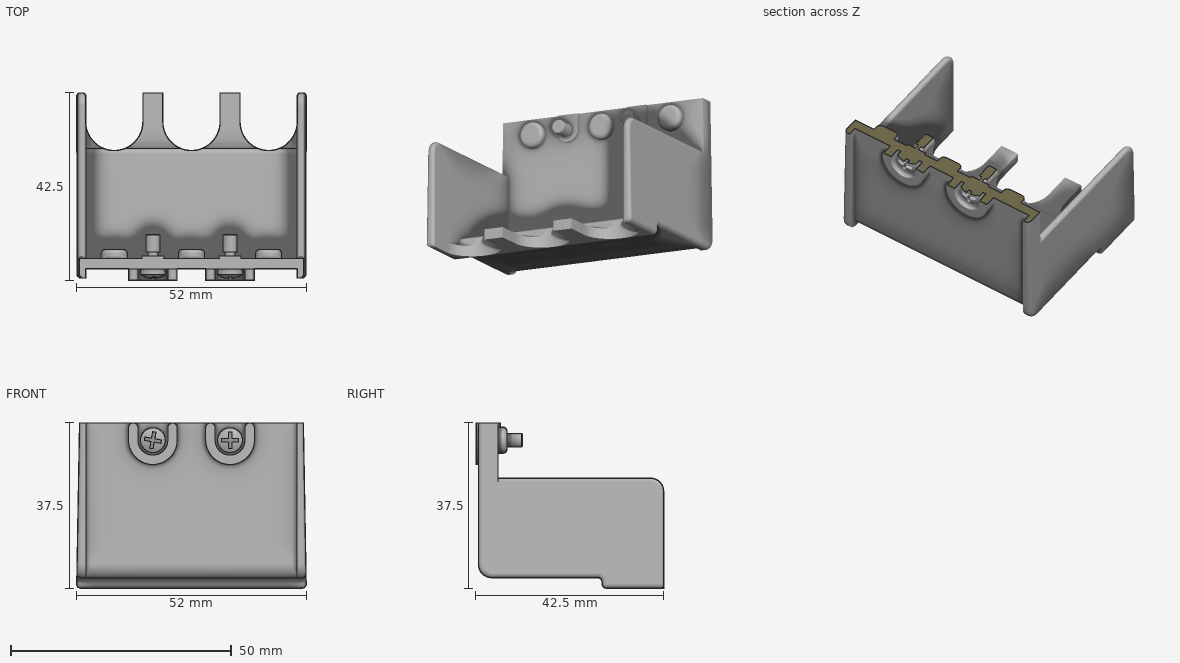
import cadquery as cq
import math

width = 52.05
depth = 42.5
height = 37.5
draft_angle = 1.0

pitch = 17.5
slot_radius = 6.45
slot_center_y = 35.9
wall_inner_x = pitch + slot_radius
slot_positions = (-pitch, 0, pitch)
screw_positions = (-pitch / 2, pitch / 2)

wall_front_y = 0.5
wall_top_z = 25.0
wall_corner_radius = 3.0
foot_height = 2.4
floor_thickness = 2.4
foot_front_y = 28.5
foot_corner_radius = 1.05
front_rim_radius = 1.0
back_rim_radius = 0.8
pick_margin = 0.5
floor_step_y = 29.9
step_top_radius = 1.2
step_root_radius = 1.0

plate_front_y = 2.65
plate_thickness = 2.35
plate_back_y = plate_front_y + plate_thickness

screw_z = 33.55
guard_outer_radius = 5.5
guard_inner_radius = 3.4
pad_radius = 2.5
pad_thickness = 0.5
button_radius = 2.95
button_height = 2.05
button_fillet = 1.0
neck_radius = 1.15
neck_end_y = 6.5
shank_radius = 1.55
shank_end_y = 10.45
shank_chamfer = 0.2
head_radius = 2.8
head_rim_y = 1.35
head_front_y = 0.4
dome_height = head_rim_y - head_front_y
dome_radius = (head_radius**2 + dome_height**2) / (2 * dome_height)
recess_length = 3.8
recess_width = 0.8
recess_depth = 1.05
left_screw_turn = 10.0


def bottom_outline(front_y):
    """YZ outline from the front top corner, round the underside, to the back of the foot."""
    return (
        cq.Workplane("YZ")
        .moveTo(front_y, height)
        .lineTo(front_y, foot_height + wall_corner_radius)
        .radiusArc((front_y + wall_corner_radius, foot_height), -wall_corner_radius)
        .lineTo(foot_front_y - step_root_radius, foot_height)
        .radiusArc((foot_front_y, foot_height - step_root_radius), step_root_radius)
        .lineTo(foot_front_y, foot_corner_radius)
        .radiusArc((foot_front_y + foot_corner_radius, 0), -foot_corner_radius)
        .lineTo(depth, 0)
    )


def right_wall():
    """Side wall with a drafted outer face and a rounded rim."""
    blank = (
        bottom_outline(wall_front_y)
        .lineTo(depth, wall_top_z - wall_corner_radius)
        .radiusArc((depth - wall_corner_radius, wall_top_z), -wall_corner_radius)
        .lineTo(plate_back_y, wall_top_z)
        .lineTo(plate_back_y, height)
        .close()
        .extrude(width)
        .translate((wall_inner_x, 0, 0))
    )
    draft_slope = math.tan(math.radians(draft_angle))
    bottom_x = width / 2 + front_rim_radius * draft_slope
    top_x = bottom_x - height * draft_slope
    draft_envelope = (
        cq.Workplane("XZ")
        .polyline([(0, 0), (bottom_x, 0), (top_x, height), (0, height)])
        .close()
        .extrude(-depth)
    )
    wall = blank.intersect(draft_envelope)

    outer_front = cq.selectors.BoxSelector(
        (top_x, 0, 0), (width, plate_front_y, height - pick_margin)
    )
    outer_underside = cq.selectors.BoxSelector(
        (top_x, 0, -pick_margin), (width, depth - pick_margin, foot_height + pick_margin)
    )
    top_and_back = cq.selectors.BoxSelector(
        (0, plate_back_y + pick_margin, foot_height + wall_corner_radius),
        (width, depth + pick_margin, height),
    )
    wall = wall.edges(outer_front + outer_underside).fillet(front_rim_radius)
    return wall.edges(top_and_back).edges("not |X").fillet(back_rim_radius)


def floor_and_front_plate():
    """Stepped floor and upright front plate, one constant section between the walls."""
    step_top_z = foot_height + floor_thickness
    return (
        bottom_outline(plate_front_y)
        .lineTo(depth, floor_thickness)
        .lineTo(floor_step_y + step_root_radius, floor_thickness)
        .radiusArc((floor_step_y, floor_thickness + step_root_radius), step_root_radius)
        .lineTo(floor_step_y, step_top_z - step_top_radius)
        .radiusArc((floor_step_y - step_top_radius, step_top_z), -step_top_radius)
        .lineTo(plate_back_y, step_top_z)
        .lineTo(plate_back_y, height)
        .close()
        .extrude(wall_inner_x, both=True)
    )


def floor_slot(x):
    """Round-ended cutter open at the back of the floor."""
    open_end = cq.Workplane("XY").rect(2 * slot_radius, depth - slot_center_y).extrude(height)
    return (
        open_end.translate((0, (depth - slot_center_y) / 2, 0))
        .union(cq.Workplane("XY").circle(slot_radius).extrude(height))
        .translate((x, slot_center_y, -height / 2))
    )


def screw_guard():
    """U-shaped rib below the screw head with fully rounded ends."""
    end_radius = (guard_outer_radius - guard_inner_radius) / 2
    end_z = height - end_radius
    return (
        cq.Workplane("XZ")
        .moveTo(-guard_outer_radius, screw_z)
        .lineTo(-guard_outer_radius, end_z)
        .radiusArc((-guard_inner_radius, end_z), end_radius)
        .lineTo(-guard_inner_radius, screw_z)
        .radiusArc((guard_inner_radius, screw_z), -guard_inner_radius)
        .lineTo(guard_inner_radius, end_z)
        .radiusArc((guard_outer_radius, end_z), end_radius)
        .lineTo(guard_outer_radius, screw_z)
        .radiusArc((-guard_outer_radius, screw_z), guard_outer_radius)
        .close()
        .extrude(-plate_front_y)
    )


def screw_pad():
    """Thin pad behind the plate, round at the bottom and open to the top edge."""
    return (
        cq.Workplane("XZ", origin=(0, plate_back_y, 0))
        .moveTo(-pad_radius, height)
        .lineTo(-pad_radius, screw_z)
        .radiusArc((pad_radius, screw_z), -pad_radius)
        .lineTo(pad_radius, height)
        .close()
        .extrude(-pad_thickness)
    )


def screw(turn):
    """Domed cross-recess screw along Y, turned clockwise as seen facing its head."""
    body = (
        cq.Workplane("XY")
        .moveTo(0, head_front_y)
        .radiusArc((head_radius, head_rim_y), -dome_radius)
        .lineTo(head_radius, plate_front_y)
        .lineTo(neck_radius, plate_front_y)
        .lineTo(neck_radius, neck_end_y)
        .lineTo(shank_radius, neck_end_y)
        .lineTo(shank_radius, shank_end_y - shank_chamfer)
        .lineTo(shank_radius - shank_chamfer, shank_end_y)
        .lineTo(0, shank_end_y)
        .close()
        .revolve(360, (0, 0, 0), (0, 1, 0))
    )
    recess = (
        cq.Workplane("XZ")
        .sketch()
        .rect(recess_length, recess_width)
        .rect(recess_width, recess_length)
        .finalize()
        .extrude(-(head_front_y + recess_depth))
    )
    return body.cut(recess).rotate((0, 0, 0), (0, 1, 0), turn).translate((0, 0, screw_z))


def button():
    """Round button behind the plate with a rounded rim."""
    return (
        cq.Workplane("XZ", origin=(0, plate_back_y, screw_z))
        .circle(button_radius)
        .extrude(-button_height)
        .faces(">Y")
        .edges()
        .fillet(button_fillet)
    )


wall = right_wall()
body = floor_and_front_plate().union(wall).union(wall.mirror("YZ"))

for x in slot_positions:
    body = body.cut(floor_slot(x))
    body = body.union(button().translate((x, 0, 0)))

for x, turn in zip(screw_positions, (left_screw_turn, 0)):
    for feature in (screw_guard(), screw_pad(), screw(turn)):
        body = body.union(feature.translate((x, 0, 0)))

result = body